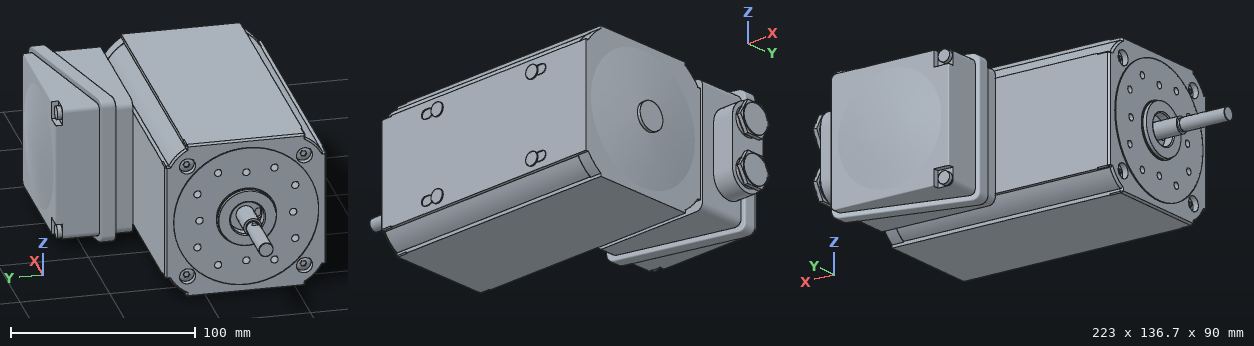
import cadquery as cq
import math


TIP_RADIUS = 4.0
TIP_CHAMFER = 0.2
HUB_START = 31.5
HUB_RADIUS = 10.0 / 2
NECK_LENGTH = 1.3
NECK_RADIUS = 3.8
PIN_HOLE_X = 26.3
PIN_HOLE_DIAMETER = 3.3
SHAFT_INSERTION = 11.2

FACE_X = 47.0
NOSE_LENGTH = 1.5
NOSE_INSET = 1.0
FRONT_CAP_END = 55.3
REAR_CAP_START = 193.4
BODY_END = 201.2
HALF_WIDTH = 90.0 / 2
FLAT_HALF = 33.2
SIDE_STEP = 2.2
REAR_SIDE_STEP = 1.8
CORNER_REACH = 54.6
CAP_EDGE_CHAMFER = 0.7

BOSS_START = 43.5
BOSS_RADIUS = 16.0
BOSS_FOOT_RADIUS = 16.7
BOSS_FOOT_HEIGHT = 0.7
REGISTER_RADIUS = 40.4
REGISTER_HEIGHT = 0.7
RECESS_RADIUS = 9.4
RECESS_DEPTH = 5.8
RECESS_CHAMFER = 0.7
KEY_POCKET_Y = -7.4
KEY_POCKET_WIDTH = 3.5
KEY_POCKET_LENGTH = 6.0
KEY_POCKET_DEPTH = 2.2
TAPPED_DIAMETER = 4.0
TAPPED_DEPTH = 9.0
TAPPED_COUNT = 12
INNER_CIRCLE_RADIUS = 26.0
OUTER_CIRCLE_RADIUS = 31.5
CORNER_SCREW_OFFSET = 32.5
CORNER_SCREW_RADIUS = 4.5
CORNER_SCREW_RECESS = 3.5
CORNER_SCREW_DOME = 1.3
CORNER_SOCKET_SIZE = 3.5
CORNER_SOCKET_DEPTH = 1.1

DOME_RADIUS = 40.8
DOME_HEIGHT = 4.5
BUTTON_RADIUS = 9.0
BUTTON_END = 207.5

FOOT_HEIGHT = 0.78
FOOT_RADIUS = 4.2
FOOT_X = (90.1, 161.0)
POCKET_X = (82.0, 166.8)
POCKET_LENGTH = 8.0
POCKET_WIDTH = 5.8
POCKET_DEPTH = 0.7
FOOT_Z = 25.9

BOX_START = 123.5
BOX_END = 202.8
BOX_HALF_HEIGHT = 78.7 / 2
BOX_TOP = 87.9
BASE_CORNER_RADIUS = 4.5
LID_CORNER_RADIUS = 3.3
LID_EDGE_RADIUS = 0.7
LID_DOME_RADIUS = 34.5
LID_DOME_HEIGHT = 3.0
RIM_OVERHANG = 2.7
RIM_SIDE_OVERHANG = 3.3
RIM_LOW_Y = 54.6
RIM_RISE = 21.5
RIM_THICKNESS = 8.3
RIM_CORNER_RADIUS = 5.0
RIM_EDGE_RADIUS = 1.0
LID_NOTCH_SIZE = 10.0
LID_NOTCH_DEPTH = 3.8
LID_SCREW_RADIUS = 3.8
LID_SCREW_INSET = 4.2
LID_SCREW_HEIGHT = 2.7

GLAND_Y = 65.8
GLAND_Z = 15.2
GLAND_BLOCK_RADIUS = 12.0
GLAND_BLOCK_END = 216.8
GLAND_NECK_RADIUS = 18.5 / 2
GLAND_NECK_END = 218.8
GLAND_GROOVE_RADIUS = 8.7
GLAND_NUT_START = 219.7
GLAND_NUT_END = 222.4
GLAND_NUT_SIZE = 23.0
GLAND_CAP_RADIUS = 9.4
OVERALL_LENGTH = 223.0

BOX_MIDDLE = (BOX_START + BOX_END) / 2
RECESS_FLOOR = BOSS_START + RECESS_DEPTH
SHAFT_END = RECESS_FLOOR + SHAFT_INSERTION


def across_x(x):
    """Workplane across the X axis: local x is Y, local y is Z, extruding toward +X."""
    return cq.Workplane("YZ", origin=(x, 0, 0))


def disc(x_start, x_end, radius):
    return across_x(x_start).circle(radius).extrude(x_end - x_start)


def above_y(y):
    """Workplane across the Y axis: local x is X, local y is Z, extruding toward -Y."""
    return cq.Workplane("XZ", origin=(0, y, 0))


def spherical_cap(radius, height):
    """Cap standing on the XY plane with its top on the Z axis."""
    return (
        cq.Workplane("XZ")
        .lineTo(radius, 0)
        .threePointArc(cap_midpoint(radius, height), (0, height))
        .close()
        .revolve(360, (0, 0), (0, 1))
    )


def cap_midpoint(radius, height):
    """Point halfway along the arc from the rim of a spherical cap to its top."""
    sphere_radius = (radius**2 + height**2) / (2 * height)
    half_angle = math.asin(radius / sphere_radius) / 2
    drop = sphere_radius * (1 - math.cos(half_angle))
    return sphere_radius * math.sin(half_angle), height - drop


def quarter_turned(point, quarters):
    """Point turned about the origin by a number of right angles."""
    u, v = point
    for _ in range(quarters):
        u, v = -v, u
    return u, v


def body_section(x, side_step, edge_chamfer):
    """Square with its corners stepped and cut back to shallow outward arcs."""
    step_level = HALF_WIDTH - side_step
    chamfer_start = FLAT_HALF - edge_chamfer
    chamfer_end = HALF_WIDTH - edge_chamfer
    arc_middle = CORNER_REACH / math.sqrt(2)
    section = across_x(x).moveTo(chamfer_start, -HALF_WIDTH)
    for quarter in range(4):
        if quarter > 0:
            section = section.lineTo(*quarter_turned((chamfer_start, -HALF_WIDTH), quarter))
        if edge_chamfer > 0:
            section = section.lineTo(*quarter_turned((FLAT_HALF, -chamfer_end), quarter))
        section = section.lineTo(*quarter_turned((FLAT_HALF, -step_level), quarter))
        section = section.threePointArc(
            quarter_turned((arc_middle, -arc_middle), quarter),
            quarter_turned((step_level, -FLAT_HALF), quarter),
        )
        if edge_chamfer > 0:
            section = section.lineTo(*quarter_turned((chamfer_end, -FLAT_HALF), quarter))
        section = section.lineTo(*quarter_turned((HALF_WIDTH, -chamfer_start), quarter))
    return section.close()


def motor_body():
    """Long body with a chamfered front cap and a rear cap of slightly shallower corner steps."""
    nose_base = FACE_X + NOSE_LENGTH
    taper = math.degrees(math.atan2(NOSE_INSET, NOSE_LENGTH))
    nose = body_section(0, SIDE_STEP, CAP_EDGE_CHAMFER).extrude(NOSE_LENGTH, taper=taper)
    nose = nose.mirror("YZ").translate((nose_base, 0, 0))
    front_cap = body_section(nose_base, SIDE_STEP, CAP_EDGE_CHAMFER).extrude(FRONT_CAP_END - nose_base)
    middle = body_section(FRONT_CAP_END, SIDE_STEP, 0).extrude(REAR_CAP_START - FRONT_CAP_END)
    rear_cap = body_section(REAR_CAP_START, REAR_SIDE_STEP, 0).extrude(BODY_END - REAR_CAP_START)
    return nose.union(front_cap).union(middle).union(rear_cap)


def front_boss():
    """Round register on the front face, carrying the stepped centring boss."""
    register = disc(FACE_X - REGISTER_HEIGHT, FACE_X, REGISTER_RADIUS)
    foot = disc(FACE_X - REGISTER_HEIGHT - BOSS_FOOT_HEIGHT, FACE_X, BOSS_FOOT_RADIUS)
    return register.union(foot).union(disc(BOSS_START, FACE_X, BOSS_RADIUS))


def shaft_recess():
    """Space cut for the shaft: a chamfered recess in the boss, a key pocket and a blind bore."""
    recess = disc(BOSS_START, RECESS_FLOOR, RECESS_RADIUS)
    mouth = across_x(BOSS_START).circle(RECESS_RADIUS + RECESS_CHAMFER).extrude(RECESS_CHAMFER, taper=45)
    bore = disc(RECESS_FLOOR, SHAFT_END, HUB_RADIUS)
    key_pocket = (
        across_x(RECESS_FLOOR)
        .center(KEY_POCKET_Y, 0)
        .slot2D(KEY_POCKET_LENGTH, KEY_POCKET_WIDTH, 90)
        .extrude(KEY_POCKET_DEPTH)
    )
    return recess.union(mouth).union(bore).union(key_pocket)


def tapped_holes():
    """Twelve mounting holes: four on the axes and two on either side of each diagonal."""
    spots = []
    for step in range(TAPPED_COUNT):
        radius = INNER_CIRCLE_RADIUS if step % 3 == 0 else OUTER_CIRCLE_RADIUS
        angle = 2 * math.pi * step / TAPPED_COUNT
        spots.append((radius * math.cos(angle), radius * math.sin(angle)))
    start = FACE_X - REGISTER_HEIGHT
    return across_x(start).pushPoints(spots).circle(TAPPED_DIAMETER / 2).extrude(TAPPED_DEPTH)


def corner_screw_recess():
    """Round recess around a domed screw head with a hexagon socket, centred on the X axis."""
    floor_x = FACE_X + CORNER_SCREW_RECESS
    head = spherical_cap(CORNER_SCREW_RADIUS, CORNER_SCREW_DOME).rotate((0, 0, 0), (0, 1, 0), -90)
    socket_x = floor_x - CORNER_SCREW_DOME
    socket = across_x(socket_x).polygon(6, CORNER_SOCKET_SIZE).extrude(CORNER_SOCKET_DEPTH)
    head = head.translate((floor_x, 0, 0)).cut(socket)
    return disc(FACE_X, floor_x, CORNER_SCREW_RADIUS).cut(head)


def rear_dome():
    dome = spherical_cap(DOME_RADIUS, DOME_HEIGHT).rotate((0, 0, 0), (0, 1, 0), 90)
    return dome.translate((BODY_END, 0, 0)).union(disc(BODY_END, BUTTON_END, BUTTON_RADIUS))


def feet():
    spots = [(x, z) for x in FOOT_X for z in (-FOOT_Z, FOOT_Z)]
    return above_y(-HALF_WIDTH).pushPoints(spots).circle(FOOT_RADIUS).extrude(FOOT_HEIGHT)


def keyhole_pockets():
    spots = [(x, z) for x in POCKET_X for z in (-FOOT_Z, FOOT_Z)]
    floor = above_y(-HALF_WIDTH + POCKET_DEPTH)
    return floor.pushPoints(spots).slot2D(POCKET_LENGTH, POCKET_WIDTH).extrude(POCKET_DEPTH)


def box_column(overhang, side_overhang, corner_radius):
    """Upright block around the box plan, from the motor body up to the lid top."""
    return (
        above_y(BOX_TOP)
        .center(BOX_MIDDLE, 0)
        .rect(BOX_END - BOX_START + 2 * overhang, 2 * (BOX_HALF_HEIGHT + side_overhang))
        .extrude(BOX_TOP - HALF_WIDTH)
        .edges("|Y")
        .fillet(corner_radius)
    )


def slanted_slab(bottom_y, top_y, rise):
    """Slab as wide as the rim, its top sloping like the joint and its bottom climbing by the given rise."""
    start = BOX_START - RIM_OVERHANG
    end = BOX_END + RIM_OVERHANG
    half_height = BOX_HALF_HEIGHT + RIM_SIDE_OVERHANG
    return (
        cq.Workplane("XY", origin=(0, 0, -half_height))
        .moveTo(start, bottom_y)
        .lineTo(end, bottom_y + rise)
        .lineTo(end, top_y + RIM_RISE)
        .lineTo(start, top_y)
        .close()
        .extrude(2 * half_height)
    )


def box_rim():
    """Slanted flange around the joint between the lid and the base of the box."""
    slab = slanted_slab(RIM_LOW_Y, RIM_LOW_Y + RIM_THICKNESS, RIM_RISE)
    rim = slab.intersect(box_column(RIM_OVERHANG, RIM_SIDE_OVERHANG, RIM_CORNER_RADIUS))
    slope = math.atan2(RIM_RISE, BOX_END - BOX_START + 2 * RIM_OVERHANG)
    upward = cq.Vector(-math.sin(slope), math.cos(slope), 0)
    return rim.faces(cq.selectors.ParallelDirSelector(upward)).edges().fillet(RIM_EDGE_RADIUS)


def lid_corner_screws():
    """Corner notches at the front of the lid, and the screw heads standing in them."""
    notch_floor = BOX_TOP - LID_NOTCH_DEPTH
    notch_x = BOX_START + LID_NOTCH_SIZE / 2
    notch_z = BOX_HALF_HEIGHT - LID_NOTCH_SIZE / 2
    screw_x = BOX_START + LID_SCREW_INSET
    screw_z = BOX_HALF_HEIGHT - LID_SCREW_INSET
    notches = (
        above_y(BOX_TOP)
        .pushPoints([(notch_x, -notch_z), (notch_x, notch_z)])
        .rect(LID_NOTCH_SIZE, LID_NOTCH_SIZE)
        .extrude(LID_NOTCH_DEPTH)
    )
    screws = (
        above_y(notch_floor + LID_SCREW_HEIGHT)
        .pushPoints([(screw_x, -screw_z), (screw_x, screw_z)])
        .circle(LID_SCREW_RADIUS)
        .extrude(LID_SCREW_HEIGHT)
    )
    return notches, screws


def terminal_box():
    """Base and domed lid joined along a sloping rim, with a larger corner rounding on the base."""
    below_joint = slanted_slab(HALF_WIDTH, RIM_LOW_Y + RIM_THICKNESS / 2, 0)
    base = box_column(0, 0, BASE_CORNER_RADIUS).intersect(below_joint)
    lid = box_column(0, 0, LID_CORNER_RADIUS).faces(">Y").edges().fillet(LID_EDGE_RADIUS).cut(below_joint)
    notches, screws = lid_corner_screws()
    lid_dome = spherical_cap(LID_DOME_RADIUS, LID_DOME_HEIGHT).rotate((0, 0, 0), (1, 0, 0), -90)
    lid_dome = lid_dome.translate((BOX_MIDDLE, BOX_TOP, 0))
    lid = lid.cut(notches).union(screws).union(lid_dome)
    return base.union(lid).union(box_rim())


def gland(z):
    """Cable gland along X: a grooved neck, a hexagon nut and a round end."""
    nut = across_x(GLAND_NUT_START).polygon(6, GLAND_NUT_SIZE).extrude(GLAND_NUT_END - GLAND_NUT_START)
    turned_parts = (
        disc(GLAND_BLOCK_END, GLAND_NECK_END, GLAND_NECK_RADIUS)
        .union(disc(GLAND_NECK_END, GLAND_NUT_START, GLAND_GROOVE_RADIUS))
        .union(disc(GLAND_NUT_END, OVERALL_LENGTH, GLAND_CAP_RADIUS))
    )
    return turned_parts.union(nut).translate((0, GLAND_Y, z))


def gland_block():
    """Rounded block on the rear of the box with two cable glands."""
    block = (
        across_x(BOX_END)
        .center(GLAND_Y, 0)
        .slot2D(2 * (GLAND_Z + GLAND_BLOCK_RADIUS), 2 * GLAND_BLOCK_RADIUS, 90)
        .extrude(GLAND_BLOCK_END - BOX_END)
    )
    for z in (-GLAND_Z, GLAND_Z):
        block = block.union(gland(z))
    return block


def build_housing():
    body = motor_body().union(front_boss()).cut(shaft_recess()).cut(tapped_holes())
    for y in (-CORNER_SCREW_OFFSET, CORNER_SCREW_OFFSET):
        for z in (-CORNER_SCREW_OFFSET, CORNER_SCREW_OFFSET):
            body = body.cut(corner_screw_recess().translate((0, y, z)))
    body = body.union(rear_dome()).cut(keyhole_pockets()).union(feet())
    return body.union(terminal_box()).union(gland_block())


def build_shaft():
    """Stepped shaft with a blind pin hole drilled from the top down to its axis."""
    neck_start = HUB_START - NECK_LENGTH
    tip = disc(0, neck_start, TIP_RADIUS).faces("<X").edges().chamfer(TIP_CHAMFER)
    neck = disc(neck_start, HUB_START, NECK_RADIUS)
    hub = disc(HUB_START, SHAFT_END, HUB_RADIUS)
    pin_hole = (
        cq.Workplane("XY")
        .center(PIN_HOLE_X, 0)
        .circle(PIN_HOLE_DIAMETER / 2)
        .extrude(TIP_RADIUS)
    )
    return tip.union(neck).union(hub).cut(pin_hole)


housing = build_housing()
shaft = build_shaft()

result = cq.Compound.makeCompound([housing.val(), shaft.val()])